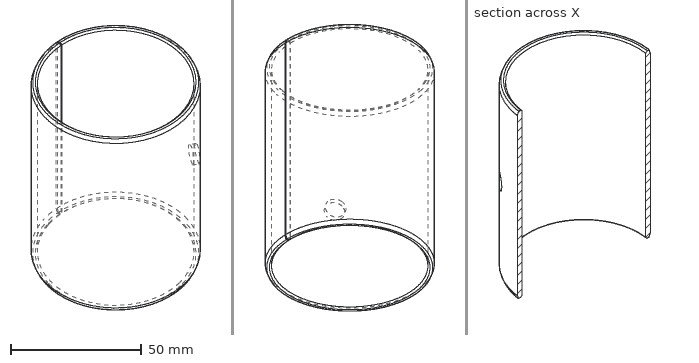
import cadquery as cq
import math

outer_diameter = 65.0
bore_diameter = 60.0
length = 90.0

outer_chamfer_length = 1.8
outer_chamfer_angle = 20.0
bore_chamfer = 0.8

joint_gap_angle = 1.0

oil_hole_diameter = 8.0
angle_from_joint_to_oil_hole = 120.0

joint_middle_angle = 180 - joint_gap_angle / 2
oil_hole_angle = joint_middle_angle - angle_from_joint_to_oil_hole

outer_radius = outer_diameter / 2
bore_radius = bore_diameter / 2
outer_chamfer_depth = outer_chamfer_length * math.tan(math.radians(outer_chamfer_angle))


def make_sleeve():
    """Revolve the chamfered wall section about Z, from -X round to the joint gap."""
    section_outline = [
        (-bore_radius, bore_chamfer),
        (-bore_radius - bore_chamfer, 0),
        (-outer_radius + outer_chamfer_depth, 0),
        (-outer_radius, outer_chamfer_length),
        (-outer_radius, length - outer_chamfer_length),
        (-outer_radius + outer_chamfer_depth, length),
        (-bore_radius - bore_chamfer, length),
        (-bore_radius, length - bore_chamfer),
    ]
    axis_start = (0, 0)
    axis_end = (0, 1)
    section = cq.Workplane("XZ").polyline(section_outline).close()
    return section.revolve(360 - joint_gap_angle, axis_start, axis_end)


def make_oil_hole_cutter():
    """Horizontal cylinder from the axis out past one side of the wall."""
    angle = math.radians(oil_hole_angle)
    outward = cq.Vector(math.cos(angle), math.sin(angle), 0)
    start = cq.Vector(0, 0, length / 2)
    cylinder = cq.Solid.makeCylinder(oil_hole_diameter / 2, outer_diameter, start, outward)
    return cq.Workplane(cylinder)


result = make_sleeve().cut(make_oil_hole_cutter())